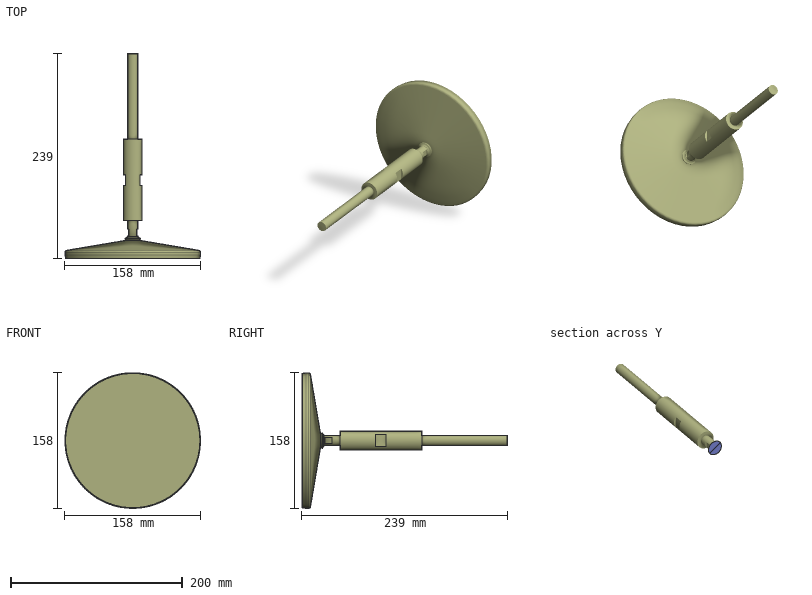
import cadquery as cq

TOTAL_LENGTH = 239.0

FOOT_DIAMETER = 158.0
SOLE_DIAMETER = 156.5
TAPER_HEIGHT = 4.3
RIM_HEIGHT = 9.3
RIM_FILLET = 2.5
CONE_TOP_HEIGHT = 21.3
NECK_DIAMETER = 16.7
LIP_DIAMETER = 18.2
LIP_HEIGHT = 23.0
LIP_THICKNESS = 0.5
SEAL_STEP_DIAMETER = 14.8
SEAL_STEP_HEIGHT = 24.1
SEAL_TOP_DIAMETER = 12.5
SEAL_TOP_HEIGHT = 25.5

SPINDLE_DIAMETER = 12.0
SPINDLE_FLAT_WIDTH = 9.5
SPINDLE_FLAT_START = 26.5
SPINDLE_FLAT_LENGTH = 8.0

SLEEVE_DIAMETER = 22.0
SLEEVE_START = 44.2
SLEEVE_LENGTH = 95.1
SLEEVE_FLAT_WIDTH = 17.0
SLEEVE_FLAT_START = 85.3
SLEEVE_FLAT_LENGTH = 12.2


def cylinder(diameter, start, length):
    """Cylinder on the Y axis, growing towards +Y from the given start."""
    return (
        cq.Workplane("XZ", origin=(0, start, 0))
        .circle(diameter / 2)
        .extrude(-length)
    )


def cut_wrench_flats(body, diameter, across_flats, start, length):
    """Cut two opposite flats, facing -X and +X, into a round body."""
    depth = (diameter - across_flats) / 2
    for side in (-1, 1):
        center_x = side * (across_flats + depth) / 2
        cutter = cq.Workplane("XY").box(depth, length, diameter)
        body = body.cut(cutter.translate((center_x, start + length / 2, 0)))
    return body


def make_foot():
    plate = (
        cq.Workplane("XY")
        .moveTo(0, 0)
        .lineTo(SOLE_DIAMETER / 2, 0)
        .lineTo(FOOT_DIAMETER / 2, TAPER_HEIGHT)
        .lineTo(FOOT_DIAMETER / 2, RIM_HEIGHT)
        .lineTo(NECK_DIAMETER / 2, CONE_TOP_HEIGHT)
        .lineTo(0, CONE_TOP_HEIGHT)
        .close()
        .revolve(360, (0, 0, 0), (0, 1, 0))
    )
    rim_edge = cq.selectors.BoxSelector(
        (-FOOT_DIAMETER, RIM_HEIGHT - RIM_FILLET / 2, -FOOT_DIAMETER),
        (FOOT_DIAMETER, RIM_HEIGHT + RIM_FILLET / 2, FOOT_DIAMETER),
    )
    plate = plate.edges("%CIRCLE").edges(rim_edge).fillet(RIM_FILLET)

    seal = (
        cq.Workplane("XY")
        .moveTo(0, CONE_TOP_HEIGHT)
        .lineTo(NECK_DIAMETER / 2, CONE_TOP_HEIGHT)
        .lineTo(NECK_DIAMETER / 2, LIP_HEIGHT)
        .lineTo(LIP_DIAMETER / 2, LIP_HEIGHT)
        .lineTo(LIP_DIAMETER / 2, LIP_HEIGHT + LIP_THICKNESS)
        .lineTo(SEAL_STEP_DIAMETER / 2, SEAL_STEP_HEIGHT)
        .lineTo(SEAL_TOP_DIAMETER / 2, SEAL_TOP_HEIGHT)
        .lineTo(0, SEAL_TOP_HEIGHT)
        .close()
        .revolve(360, (0, 0, 0), (0, 1, 0))
    )
    return plate.union(seal)


def make_spindle():
    rod = cylinder(SPINDLE_DIAMETER, SEAL_TOP_HEIGHT, TOTAL_LENGTH - SEAL_TOP_HEIGHT)
    return cut_wrench_flats(
        rod, SPINDLE_DIAMETER, SPINDLE_FLAT_WIDTH, SPINDLE_FLAT_START, SPINDLE_FLAT_LENGTH
    )


def make_sleeve():
    tube = cylinder(SLEEVE_DIAMETER, SLEEVE_START, SLEEVE_LENGTH).cut(
        cylinder(SPINDLE_DIAMETER, SLEEVE_START, SLEEVE_LENGTH)
    )
    return cut_wrench_flats(
        tube, SLEEVE_DIAMETER, SLEEVE_FLAT_WIDTH, SLEEVE_FLAT_START, SLEEVE_FLAT_LENGTH
    )


foot = make_foot()
spindle = make_spindle()
sleeve = make_sleeve()

result = cq.Compound.makeCompound([foot.val(), spindle.val(), sleeve.val()])